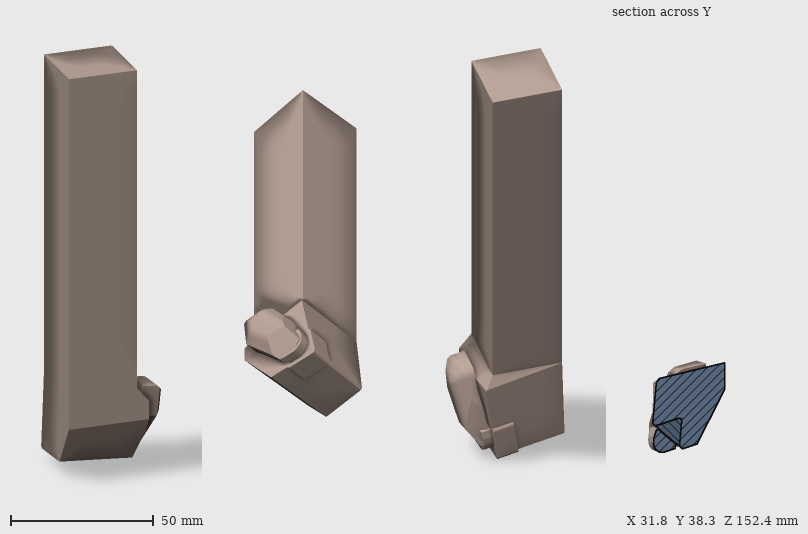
import cadquery as cq
import math

OVERALL_LENGTH = 152.4
SHANK = OVERALL_LENGTH / 6
SHANK_BOTTOM = 32.8

TIP_OVERHANG = SHANK / 4
RAKE = 6.0
LEAD = 5.0

INSERT_EDGE = 13.0
INSERT_THICKNESS = 8.0
NOSE_RADIUS = 1.2

HEAD_INSET = 0.8
HEAD_CORNER_CHAMFER = 0.6
HEAD_HEIGHT = 29.9
SHOULDER_ANGLE = 50.0
RELIEF_TOP = 20.5
RELIEF_ANGLE = 58.0
REACH = 76.2

CLAMP_GAP = 0.8
CLAMP_HEIGHT = 8.2
HEEL_DEPTH = 2.3
CLAMP_TAIL = 31.1
CLAMP_TAIL_LEFT = 14.3
CLAMP_RIGHT = 25.8
CLAMP_BEND = 19.8
CLAMP_NOSE = 3.0
CLAMP_NOSE_LEFT = 6.9
CLAMP_NOSE_RIGHT = 13.0
CLAMP_NOSE_CORNER = 8.4
CLAMP_LEFT_ANGLE = 32.0
TAIL_RADIUS = 4.3
BEVEL_DROP = 4.3
BEVEL_WIDTH = 3.0
CROWN_RADIUS = 5.3

CHEEK_POINT = (0.3, 28.8, 18.9)
CHEEK_NORMAL = (-11.2, 2.4, 3.7)
RAMP_POINT = (-3.4, 31.0, 5.5)
RAMP_NORMAL = (-0.3, 1.5, -1.0)

FINGER_HEIGHT = 3.7
FINGER_INSET = 1.8
FINGER_LENGTH = 9.6
FINGER_RADIUS = 4.5
FINGER_CHAMFER = 2.5
FINGER_CHAMFER_WIDTH = 0.8

lead = math.radians(LEAD)
half_corner = math.radians(45 - LEAD)
corner_setback = NOSE_RADIUS * (math.sqrt(0.5) / math.sin(half_corner) - 1)
CORNER = (-TIP_OVERHANG - corner_setback, SHANK, -corner_setback)


def seat_plane(height=0.0):
    """Plane parallel to the insert's top: local x runs up the shank, local y to the right."""
    slope = math.tan(math.radians(RAKE))
    plane = cq.Plane(origin=CORNER, xDir=(0, slope, 1), normal=(-slope, 1, -slope))
    plane.origin = plane.toWorldCoords((0, 0, height))
    return plane


def rhombus(inset, length):
    """Rhombus with edges parallel to the cutting edges, moved inwards by the inset."""
    start = inset * math.sqrt(0.5) / math.sin(half_corner)
    along = length * math.cos(lead)
    aside = length * math.sin(lead)
    return [
        (start, start),
        (start + along, start + aside),
        (start + along + aside, start + along + aside),
        (start + aside, start + along),
    ]


def trim(body, point, outward):
    """Cut off everything beyond the plane through the point."""
    waste = cq.Workplane(cq.Plane(origin=point, normal=outward)).rect(REACH, REACH).extrude(REACH)
    return body.cut(waste)


def prism(height, outline, thickness):
    """Prism square to the insert seat, starting at a height above it."""
    return cq.Workplane(seat_plane(height)).polyline(outline).close().extrude(thickness)


def along_normal(body):
    """Edges square to the insert seat."""
    return body.edges(cq.selectors.ParallelDirSelector(seat_plane().zDir))


def make_insert():
    blank = prism(0, rhombus(0, INSERT_EDGE), -INSERT_THICKNESS)
    return along_normal(blank).fillet(NOSE_RADIUS)


def make_head():
    """Common part of the tilted block, the front outline and the side outline."""
    tilted = prism(0, rhombus(HEAD_INSET, REACH), -REACH)
    near_tip = cq.selectors.NearestToPointSelector(CORNER)
    tilted = along_normal(tilted).edges(near_tip).chamfer(HEAD_CORNER_CHAMFER)

    shoulder_slope = math.tan(math.radians(SHOULDER_ANGLE))
    relief_run = RELIEF_TOP / math.tan(math.radians(RELIEF_ANGLE))
    front_outline = [
        (0, SHANK_BOTTOM),
        (SHANK, SHANK_BOTTOM),
        (SHANK, RELIEF_TOP),
        (SHANK - relief_run, 0),
        (-SHANK_BOTTOM / shoulder_slope, 0),
    ]
    front = cq.Workplane("XZ").polyline(front_outline).close().extrude(-HEAD_HEIGHT)

    flat_end = SHANK_BOTTOM - (HEAD_HEIGHT - SHANK) * shoulder_slope
    side_outline = [
        (0, 0),
        (HEAD_HEIGHT, 0),
        (HEAD_HEIGHT, flat_end),
        (SHANK, SHANK_BOTTOM),
        (0, SHANK_BOTTOM),
    ]
    side = cq.Workplane("YZ").polyline(side_outline).close().extrude(REACH, both=True)
    return tilted.intersect(front).intersect(side)


def make_shank():
    size = (SHANK, SHANK, OVERALL_LENGTH - SHANK_BOTTOM)
    return cq.Workplane("XY", origin=(0, 0, SHANK_BOTTOM)).box(*size, centered=False)


def make_clamp():
    left_run = (CLAMP_TAIL - CLAMP_NOSE_CORNER) * math.tan(math.radians(CLAMP_LEFT_ANGLE))
    outline = [
        (CLAMP_NOSE, CLAMP_NOSE_LEFT),
        (CLAMP_NOSE_CORNER, CLAMP_TAIL_LEFT - left_run),
        (CLAMP_TAIL, CLAMP_TAIL_LEFT),
        (CLAMP_TAIL, CLAMP_RIGHT),
        (CLAMP_BEND, CLAMP_RIGHT),
        (CLAMP_NOSE, CLAMP_NOSE_RIGHT),
    ]
    body = prism(-HEEL_DEPTH, outline, HEEL_DEPTH + CLAMP_HEIGHT)
    plane = seat_plane()
    tail_corner = plane.toWorldCoords((CLAMP_TAIL, CLAMP_TAIL_LEFT, CLAMP_HEIGHT / 2))
    body = body.edges(cq.selectors.NearestToPointSelector(tail_corner)).fillet(TAIL_RADIUS)
    top = cq.selectors.DirectionMinMaxSelector(plane.zDir)
    body = body.faces(top).chamfer(BEVEL_DROP, BEVEL_WIDTH)
    body = body.faces(top).edges().fillet(CROWN_RADIUS)

    heel = cq.Workplane("XZ", origin=(0, HEAD_HEIGHT, 0)).rect(2 * REACH, 2 * REACH).extrude(-REACH)
    lifted = trim(body, seat_plane(CLAMP_GAP).origin.toTuple(), (-plane.zDir).toTuple())
    body = body.intersect(heel).union(lifted)
    body = trim(body, CHEEK_POINT, CHEEK_NORMAL)
    return trim(body, RAMP_POINT, RAMP_NORMAL)


def make_finger():
    outline = rhombus(FINGER_INSET, FINGER_LENGTH)
    blank = prism(0, outline, FINGER_HEIGHT)
    near_tip = cq.selectors.NearestToPointSelector(CORNER)
    rounded = along_normal(blank).edges(near_tip).fillet(FINGER_RADIUS)
    upper_left = seat_plane().toWorldCoords((*outline[1], FINGER_HEIGHT / 2))
    at_upper_left = cq.selectors.NearestToPointSelector(upper_left)
    return rounded.edges(at_upper_left).chamfer(FINGER_CHAMFER, FINGER_CHAMFER_WIDTH)


insert = make_insert()
holder = make_shank().union(make_head()).cut(insert)
holder = holder.union(make_clamp()).union(make_finger())

result = cq.Compound.makeCompound([holder.val(), insert.val()])